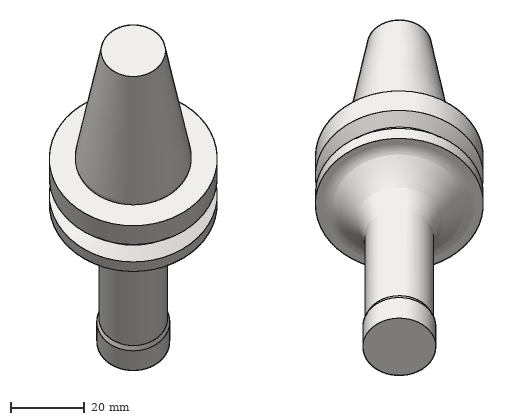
import cadquery as cq
import math


gauge_diameter = 31.75
taper_length = 48.4
taper_ratio = 7 / 24
gauge_land = 1.0

flange_diameter = 46.0
flange_bottom_z = -22.0
groove_center_z = -13.6
groove_width = 8.0
groove_floor_diameter = 38.0
groove_wall_angle = 30.0

root_fillet_diameter = 41.4
flare_top_diameter = 36.0
flare_top_drop = 0.9
flare_waist_diameter = 23.8
flare_waist_drop = 7.7
flare_drop = 14.1
root_fillet_sag = 0.2
upper_flare_sag = 0.25
lower_flare_sag = 0.2

shank_diameter = 18.8
collar_diameter = 20.0
collar_length = 9.1
collar_cone_length = 1.6
nose_length = 85.0


def concave_arc(profile, start, end, sag):
    """Extend the profile from start to end with an arc bowed toward the axis and up by sag."""
    step_r = end[0] - start[0]
    step_z = end[1] - start[1]
    chord = math.hypot(step_r, step_z)
    middle_r = (start[0] + end[0]) / 2 + sag * step_z / chord
    middle_z = (start[1] + end[1]) / 2 - sag * step_r / chord
    return profile.threePointArc((middle_r, middle_z), end)


def taper_body():
    """Solid 7:24 taper with a short cylindrical land under the gauge plane."""
    gauge_radius = gauge_diameter / 2
    end_radius = gauge_radius - taper_length * taper_ratio / 2
    profile = (
        cq.Workplane("XZ")
        .moveTo(0, taper_length)
        .lineTo(end_radius, taper_length)
        .lineTo(gauge_radius, 0)
        .lineTo(gauge_radius, -gauge_land)
        .lineTo(0, -gauge_land)
        .close()
    )
    return profile.revolve(360, (0, 0), (0, 1))


def flange_body():
    """Flange with a flat-bottomed V groove around its rim."""
    rim_radius = flange_diameter / 2
    floor_radius = groove_floor_diameter / 2
    half_mouth = groove_width / 2
    half_floor = half_mouth - (rim_radius - floor_radius) * math.tan(math.radians(groove_wall_angle))
    profile = (
        cq.Workplane("XZ")
        .moveTo(0, -gauge_land)
        .lineTo(rim_radius, -gauge_land)
        .lineTo(rim_radius, groove_center_z + half_mouth)
        .lineTo(floor_radius, groove_center_z + half_floor)
        .lineTo(floor_radius, groove_center_z - half_floor)
        .lineTo(rim_radius, groove_center_z - half_mouth)
        .lineTo(rim_radius, flange_bottom_z)
        .lineTo(0, flange_bottom_z)
        .close()
    )
    return profile.revolve(360, (0, 0), (0, 1))


def nose_body():
    """Flare, slim shank and end collar below the flange."""
    shank_radius = shank_diameter / 2
    collar_radius = collar_diameter / 2
    collar_top_z = collar_length - nose_length
    flare_points = [
        (root_fillet_diameter / 2, flange_bottom_z),
        (flare_top_diameter / 2, flange_bottom_z - flare_top_drop),
        (flare_waist_diameter / 2, flange_bottom_z - flare_waist_drop),
        (shank_radius, flange_bottom_z - flare_drop),
    ]
    flare_sags = [root_fillet_sag, upper_flare_sag, lower_flare_sag]

    profile = cq.Workplane("XZ").moveTo(0, flange_bottom_z).lineTo(*flare_points[0])
    for start, end, sag in zip(flare_points, flare_points[1:], flare_sags):
        profile = concave_arc(profile, start, end, sag)
    profile = (
        profile.lineTo(shank_radius, collar_top_z + collar_cone_length)
        .lineTo(collar_radius, collar_top_z)
        .lineTo(collar_radius, -nose_length)
        .lineTo(0, -nose_length)
        .close()
    )
    return profile.revolve(360, (0, 0), (0, 1))


result = taper_body().union(flange_body()).union(nose_body())